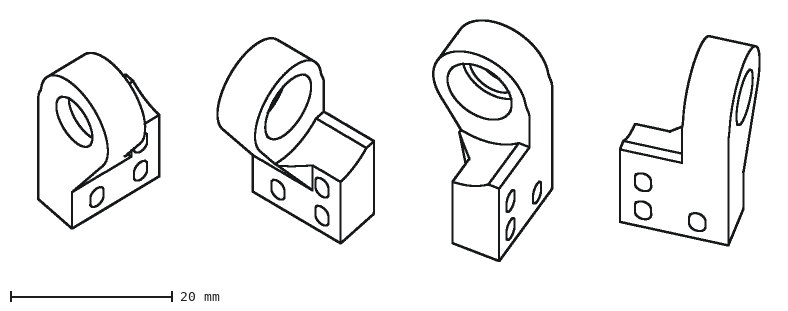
import cadquery as cq
import math

depth = 14.0
arm_thickness = 6.0
block_width = 6.55
block_height = 13.0

eye_radius = 6.5
eye_x = 7.0
eye_z = 19.5
bore_diameter = 7.0
counterbore_diameter = 9.0
bore_lip = 2.0

blend_radius = 3.0
shoulder_z = 18.22
flare_z = 6.55

clearance_radius = 8.5
gusset_reach = 3.5

slot_width = 2.1
slot_length = 3.12
slot_rear_y = depth - 3.0
slot_front_y = depth - 10.0
slot_low_z = 3.0
slot_high_z = 8.0
slot_centers = [(slot_rear_y, slot_low_z), (slot_rear_y, slot_high_z), (slot_front_y, slot_low_z)]


def polar(center, radius, angle):
    return (center[0] + radius * math.cos(angle), center[1] + radius * math.sin(angle))


def angle_to(start, end):
    return math.atan2(end[1] - start[1], end[0] - start[0])


def extrude_back(outline, start_y, end_y):
    """Move an XZ outline to start_y and extrude it toward +Y as far as end_y."""
    return outline.extrude(start_y - end_y).translate((0, start_y, 0))


def cylinder_y(diameter, start_y, end_y):
    """Cylinder on the axis of the eye."""
    circle = cq.Workplane("XZ").center(eye_x, eye_z).circle(diameter / 2)
    return extrude_back(circle, start_y, end_y)


def arm_profile():
    eye = (eye_x, eye_z)
    flare = (block_width, flare_z)

    flare_angle = angle_to(eye, flare)
    tangent_angle = flare_angle + math.acos(eye_radius / math.dist(eye, flare))
    slope_end = polar(eye, eye_radius, tangent_angle)

    shoulder = (blend_radius, shoulder_z)
    spacing = math.dist(eye, shoulder)
    to_eye = eye_radius + blend_radius
    to_shoulder = 2 * blend_radius
    spread = math.acos((to_eye**2 + spacing**2 - to_shoulder**2) / (2 * to_eye * spacing))
    hollow_angle = angle_to(eye, shoulder) - spread
    hollow = polar(eye, to_eye, hollow_angle)
    hollow_top = polar(eye, eye_radius, hollow_angle)
    hollow_bottom = polar(hollow, blend_radius, angle_to(hollow, shoulder))

    return (
        cq.Workplane("XZ")
        .lineTo(block_width, 0)
        .lineTo(*flare)
        .lineTo(*slope_end)
        .threePointArc((eye_x, eye_z + eye_radius), hollow_top)
        .radiusArc(hollow_bottom, blend_radius)
        .radiusArc((0, shoulder_z), -blend_radius)
        .close()
    )


def rear_block():
    """Block and gusset behind the arm, scooped out around the eye."""
    plan = (
        cq.Workplane("XY")
        .moveTo(0, arm_thickness)
        .lineTo(block_width + gusset_reach, arm_thickness)
        .lineTo(block_width, arm_thickness + gusset_reach)
        .lineTo(block_width, depth)
        .lineTo(0, depth)
        .close()
        .extrude(block_height)
    )
    trimmed = plan.intersect(extrude_back(arm_profile(), arm_thickness, depth))
    return trimmed.cut(cylinder_y(2 * clearance_radius, arm_thickness, depth))


def slots():
    return (
        cq.Workplane("YZ")
        .pushPoints(slot_centers)
        .slot2D(slot_length, slot_width, 90)
        .extrude(eye_x + eye_radius)
    )


arm = extrude_back(arm_profile(), 0, arm_thickness)
bore = cylinder_y(bore_diameter, 0, arm_thickness)
counterbore = cylinder_y(counterbore_diameter, bore_lip, arm_thickness)

result = arm.union(rear_block()).cut(bore).cut(counterbore).cut(slots())